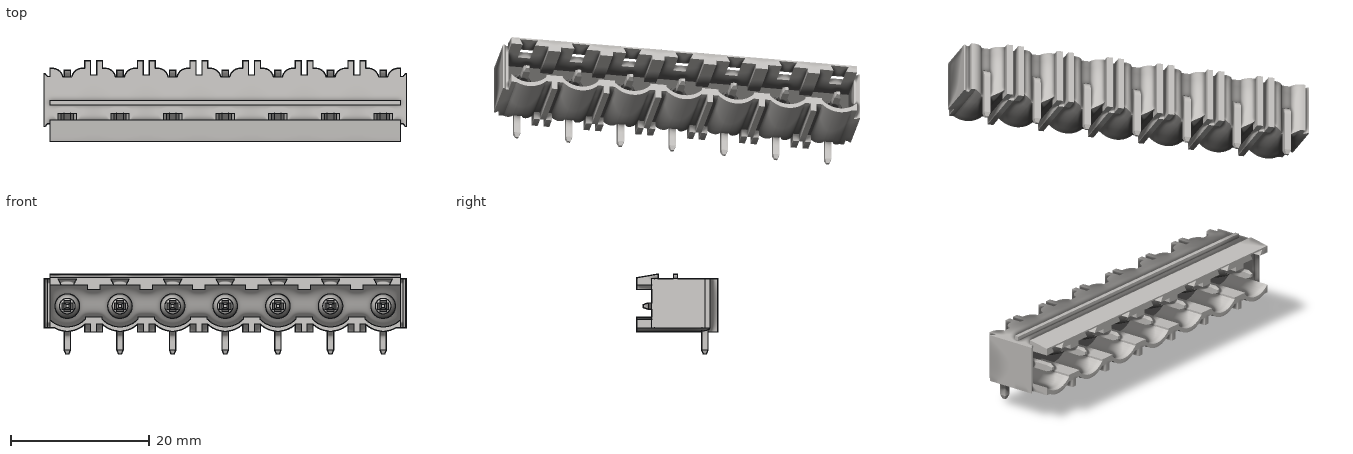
import cadquery as cq
import math

POLE_COUNT = 7
PITCH = 7.62
POLE_X = [(i - (POLE_COUNT - 1) / 2) * PITCH for i in range(POLE_COUNT)]
GAP_X = [x + PITCH / 2 for x in POLE_X[:-1]]

OVERALL_LENGTH = 52.52
OVERALL_DEPTH = 11.75
TOP_Z = 8.4
PIN_BOTTOM_Z = -3.2

END_MARGIN = 2.54
BODY_HALF = POLE_X[-1] + END_MARGIN
BODY_BACK_Y = 10.65
ROOF_TOP_Z = 7.75
ROOF_BOTTOM_Z = 6.84
BRIDGE_BOTTOM_Z = 1.15
BRIDGE_TOP_Z = 2.17
BRIDGE_HALF = 1.2
END_BOTTOM_Z = 0.6
BACK_WALL_Y = 7.0
PIN_Z = 3.76
OUTER_TROUGH_RADIUS = 3.65
INNER_TROUGH_RADIUS = 3.57
TROUGH_FLOOR_Z = 0.75

STRIP_DEPTH = 3.15
STRIP_FLAT_FRONT_Y = 3.0
STRIP_FRONT_Z = 7.88
RAIL_FRONT_Y = 5.32
RAIL_BACK_Y = 5.94
LIP_HALF = 0.9
LIP_BOTTOM_Z = 6.15
LATCH_BACK_Y = 4.1
LATCH_CEILING_Z = 7.65
LATCH_TOP_HALF = 1.33
LATCH_BOTTOM_HALF = 0.9

PLATE_TIP_FRONT_Y = 2.18
PLATE_TIP_BACK_Y = 9.86
PLATE_TIP_WIDTH = 0.2
PLATE_SPLAY_WIDTH = 0.32
PLATE_SPLAY_DEPTH = 0.42

CHANNEL_Y = 9.38
CHANNEL_FLARE_HALF = 2.2
CHANNEL_CORNER_RADIUS = 1.6
RIB_OUTER_HALF = 1.3
RIB_SLOT_HALF = 0.42
RIB_SLOT_Y = 9.67

NOSE_BASE_RADIUS = 1.78
NOSE_SHOULDER_RADIUS = 1.13
NOSE_TIP_RADIUS = 0.6
NOSE_SHOULDER_HEIGHT = 1.65
NOSE_HEIGHT = 2.05
CROSS_HALF_LENGTH = 0.8

PIN_SIZE = 0.96
PIN_TIP_SIZE = 0.45
CONTACT_TIP_LENGTH = 0.75
LEG_TIP_LENGTH = 0.62
PIN_FRONT_Y = 0.94
PIN_LEG_Y = 9.87
PIN_BEND_RADIUS = 1.3


def block(x0, x1, y0, y1, z0, z1):
    """Axis-aligned box between two opposite corners."""
    return cq.Workplane("XY").box(x1 - x0, y1 - y0, z1 - z0, centered=False).translate((x0, y0, z0))


def cylinder_y(x, z, radius, y0, y1):
    """Cylinder along Y."""
    return cq.Workplane("XZ", origin=(x, y0, z)).circle(radius).extrude(y0 - y1)


def shell():
    """Block with a troughed underside and a troughed chamber open at the front and both ends."""
    body = block(-BODY_HALF, BODY_HALF, 0, BODY_BACK_Y, BRIDGE_BOTTOM_Z, ROOF_TOP_Z)
    for side in (-1, 1):
        inner, outer = sorted((side * POLE_X[-1], side * BODY_HALF))
        body = body.union(block(inner, outer, 0, BODY_BACK_Y, END_BOTTOM_Z, BRIDGE_TOP_Z))
    envelope = block(-BODY_HALF, BODY_HALF, 0, BODY_BACK_Y, 0, ROOF_TOP_Z)
    for x in POLE_X:
        trough = cylinder_y(x, PIN_Z, OUTER_TROUGH_RADIUS, 0, BODY_BACK_Y)
        body = body.union(trough.intersect(envelope))

    body = body.cut(block(-BODY_HALF, BODY_HALF, 0, BACK_WALL_Y, BRIDGE_TOP_Z, ROOF_BOTTOM_Z))
    trough_half = PITCH / 2 - BRIDGE_HALF
    for x in POLE_X:
        hollow = cylinder_y(x, TROUGH_FLOOR_Z + INNER_TROUGH_RADIUS, INNER_TROUGH_RADIUS, 0, BACK_WALL_Y)
        limits = block(x - trough_half, x + trough_half, 0, BACK_WALL_Y, 0, PIN_Z)
        body = body.cut(hollow.intersect(limits))
    return body


def end_plate(side):
    """End plate whose front and back edges splay outward; side is -1 or +1."""
    inner = side * BODY_HALF
    outer = side * OVERALL_LENGTH / 2
    tip = outer - side * PLATE_TIP_WIDTH
    seat = tip - side * PLATE_SPLAY_WIDTH
    front = PLATE_TIP_FRONT_Y + PLATE_SPLAY_DEPTH
    back = PLATE_TIP_BACK_Y - PLATE_SPLAY_DEPTH
    outline = [
        (inner, front), (seat, front), (tip, PLATE_TIP_FRONT_Y), (outer, PLATE_TIP_FRONT_Y),
        (outer, PLATE_TIP_BACK_Y), (tip, PLATE_TIP_BACK_Y), (seat, back), (inner, back),
    ]
    plate = cq.Workplane("XY", origin=(0, 0, END_BOTTOM_Z)).polyline(outline).close()
    return plate.extrude(ROOF_TOP_Z - END_BOTTOM_Z)


def sloped_strip():
    """Strip along the front of the roof, its top falling toward the front."""
    outline = [
        (0, ROOF_BOTTOM_Z), (0, STRIP_FRONT_Z), (STRIP_FLAT_FRONT_Y, TOP_Z),
        (STRIP_DEPTH, TOP_Z), (STRIP_DEPTH, ROOF_BOTTOM_Z),
    ]
    strip = cq.Workplane("YZ", origin=(-BODY_HALF, 0, 0)).polyline(outline).close()
    return strip.extrude(2 * BODY_HALF)


def latch_slot(x):
    """Slot tapering downward through the roof front, open upward behind the sloped strip."""
    outline = [
        (x - LATCH_BOTTOM_HALF, ROOF_BOTTOM_Z), (x - LATCH_TOP_HALF, LATCH_CEILING_Z),
        (x + LATCH_TOP_HALF, LATCH_CEILING_Z), (x + LATCH_BOTTOM_HALF, ROOF_BOTTOM_Z),
    ]
    slot = cq.Workplane("XZ").polyline(outline).close().extrude(-LATCH_BACK_Y)
    opening = block(x - LATCH_TOP_HALF, x + LATCH_TOP_HALF, STRIP_DEPTH, LATCH_BACK_Y,
                    LATCH_CEILING_Z, ROOF_TOP_Z)
    return slot.union(opening)


def back_channel(x):
    """Upright channel in the back face for a pin leg, flaring out over rounded corners."""
    corner_y = BODY_BACK_Y - CHANNEL_CORNER_RADIUS
    sweep = math.acos((CHANNEL_Y - corner_y) / CHANNEL_CORNER_RADIUS)
    floor_half = CHANNEL_FLARE_HALF - CHANNEL_CORNER_RADIUS * math.sin(sweep)
    arc_half = CHANNEL_FLARE_HALF - CHANNEL_CORNER_RADIUS * math.sin(sweep / 2)
    arc_y = corner_y + CHANNEL_CORNER_RADIUS * math.cos(sweep / 2)
    channel = (
        cq.Workplane("XY")
        .moveTo(x - floor_half, CHANNEL_Y)
        .lineTo(x + floor_half, CHANNEL_Y)
        .threePointArc((x + arc_half, arc_y), (x + CHANNEL_FLARE_HALF, BODY_BACK_Y))
        .lineTo(x - CHANNEL_FLARE_HALF, BODY_BACK_Y)
        .threePointArc((x - arc_half, arc_y), (x - floor_half, CHANNEL_Y))
        .close()
    )
    return channel.extrude(ROOF_TOP_Z)


def back_rib(x):
    """Rib on the back between two poles, reaching down to the seating plane."""
    return block(x - RIB_OUTER_HALF, x + RIB_OUTER_HALF, RIB_SLOT_Y, OVERALL_DEPTH, 0, ROOF_TOP_Z)


def rib_slot(x):
    """Slot that splits a back rib in two."""
    return block(x - RIB_SLOT_HALF, x + RIB_SLOT_HALF, RIB_SLOT_Y, OVERALL_DEPTH, 0, ROOF_TOP_Z)


def foot(x):
    """Narrow foot under the bridge between two poles."""
    return block(x - RIB_SLOT_HALF, x + RIB_SLOT_HALF, 0, RIB_SLOT_Y, 0, BRIDGE_TOP_Z)


def roof_lip(x):
    """Lip hanging from the roof between two poles."""
    return block(x - LIP_HALF, x + LIP_HALF, 0, BACK_WALL_Y, LIP_BOTTOM_Z, ROOF_BOTTOM_Z)


def pin_nose(x):
    """Blunt cone standing on the back wall, with a cross-shaped recess around the pin."""
    outline = [
        (0, 0), (NOSE_BASE_RADIUS, 0), (NOSE_SHOULDER_RADIUS, -NOSE_SHOULDER_HEIGHT),
        (NOSE_TIP_RADIUS, -NOSE_HEIGHT), (0, -NOSE_HEIGHT),
    ]
    nose = cq.Workplane("XY").polyline(outline).close().revolve(360, (0, 0), (0, 1))
    half = PIN_SIZE / 2
    arm = block(-CROSS_HALF_LENGTH, CROSS_HALF_LENGTH, -NOSE_HEIGHT, 0, -half, half)
    nose = nose.cut(arm).cut(arm.rotate((0, 0, 0), (0, 1, 0), 90))
    return nose.translate((x, BACK_WALL_Y, PIN_Z))


def pin_bore(x):
    """Square bore for a pin through the back wall."""
    half = PIN_SIZE / 2
    return block(x - half, x + half, BACK_WALL_Y, CHANNEL_Y, PIN_Z - half, PIN_Z + half)


def make_housing():
    """Connector housing."""
    housing = shell()
    for side in (-1, 1):
        housing = housing.union(end_plate(side))
    housing = housing.union(sloped_strip())
    housing = housing.union(block(-BODY_HALF, BODY_HALF, RAIL_FRONT_Y, RAIL_BACK_Y, ROOF_BOTTOM_Z, TOP_Z))
    for x in GAP_X:
        housing = housing.union(back_rib(x)).cut(rib_slot(x))
        housing = housing.union(foot(x)).union(roof_lip(x))
    for x in POLE_X:
        housing = housing.cut(latch_slot(x)).cut(back_channel(x))
        housing = housing.union(pin_nose(x)).cut(pin_bore(x))
    return housing


def pin_tip(workplane, length):
    """Square taper that ends a pin."""
    tip = workplane.rect(PIN_SIZE, PIN_SIZE).workplane(offset=length)
    return tip.rect(PIN_TIP_SIZE, PIN_TIP_SIZE).loft(combine=True)


def make_pin(x):
    """Right-angle square pin: contact along Y, solder leg along -Z, rounded outside the bend."""
    half = PIN_SIZE / 2
    contact_start = PIN_FRONT_Y + CONTACT_TIP_LENGTH
    leg_end = PIN_BOTTOM_Z + LEG_TIP_LENGTH
    contact = block(x - half, x + half, contact_start, PIN_LEG_Y + half, PIN_Z - half, PIN_Z + half)
    leg = block(x - half, x + half, PIN_LEG_Y - half, PIN_LEG_Y + half, leg_end, PIN_Z + half)
    pin = contact.union(leg)
    pin = pin.edges("|X and >Y and >Z").fillet(PIN_BEND_RADIUS)
    contact_tip = pin_tip(cq.Workplane("XZ", origin=(x, contact_start, PIN_Z)), CONTACT_TIP_LENGTH)
    leg_plane = cq.Workplane("XY", origin=(x, PIN_LEG_Y, leg_end)).transformed(rotate=(180, 0, 0))
    leg_tip = pin_tip(leg_plane, LEG_TIP_LENGTH)
    return pin.union(contact_tip).union(leg_tip)


housing = make_housing()
pins = [make_pin(x) for x in POLE_X]
result = cq.Compound.makeCompound([housing.val(), *[pin.val() for pin in pins]])